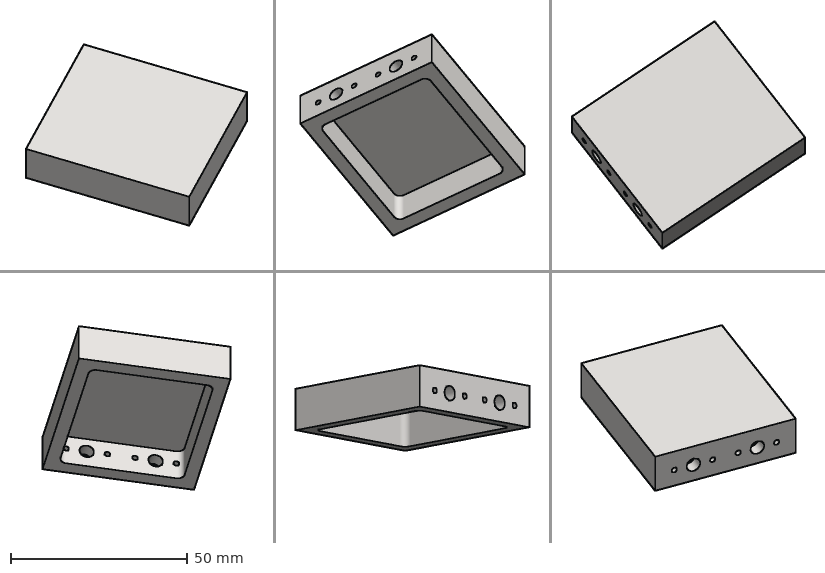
import cadquery as cq

length = 50.0
width = 44.0
height = 12.0
wall = 4.0
roof = 2.0
corner_radius = 2.0

hole_height = 5.5
group_offset = 10.0
small_hole_spacing = 6.0
large_diameter = 4.2
small_diameter = 1.6


def make_cavity():
    """Pocket rising from the underside, with rounded vertical corners."""
    return (
        cq.Workplane("XY")
        .box(length - 2 * wall, width - 2 * wall, height - roof, centered=(True, True, False))
        .edges("|Z")
        .fillet(corner_radius)
    )


def wall_hole(y, diameter):
    """Cylinder along X that passes through the -X wall into the cavity."""
    return (
        cq.Workplane("YZ", origin=(-length / 2, y, hole_height))
        .circle(diameter / 2)
        .extrude(wall + corner_radius)
    )


result = cq.Workplane("XY").box(length, width, height, centered=(True, True, False))
result = result.cut(make_cavity())

for side in (-1, 1):
    group_y = side * group_offset
    result = result.cut(wall_hole(group_y, large_diameter))
    for offset in (-small_hole_spacing, small_hole_spacing):
        result = result.cut(wall_hole(group_y + offset, small_diameter))